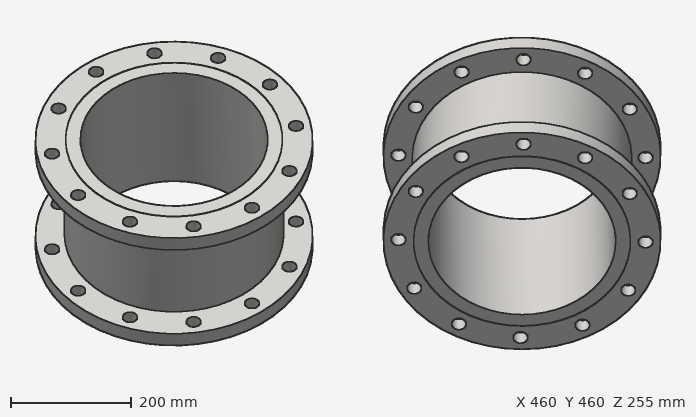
import cadquery as cq

flange_diameter = 460.0
overall_height = 255.0
bore_diameter = 311.0

flange_thickness = 29.0
raised_face_height = 1.0
raised_face_diameter = 359.5

body_diameter = 364.5
body_edge_fillet = 3.5
neck_diameter = 331.0
neck_height = 1.5

bolt_count = 12
bolt_circle_diameter = 410.0
bolt_hole_diameter = 24.0

half_height = overall_height / 2
flange_outer_z = half_height - raised_face_height
flange_inner_z = half_height - flange_thickness
body_end_z = flange_inner_z - neck_height


def disc(diameter, bottom_z, top_z):
    """Solid cylinder on the Z axis between two heights."""
    return (
        cq.Workplane("XY", origin=(0, 0, bottom_z))
        .circle(diameter / 2)
        .extrude(top_z - bottom_z)
    )


def bolt_holes():
    """Pins that cut the bolt holes through both flanges."""
    first_angle = 180 / bolt_count
    return (
        cq.Workplane("XY", origin=(0, 0, -half_height))
        .polarArray(bolt_circle_diameter / 2, first_angle, 360, bolt_count)
        .circle(bolt_hole_diameter / 2)
        .extrude(overall_height)
    )


def upper_flange():
    """Upper flange with its raised face and the neck below it."""
    plate = disc(flange_diameter, flange_inner_z, flange_outer_z)
    raised_face = disc(raised_face_diameter, flange_outer_z, half_height)
    neck = disc(neck_diameter, body_end_z, flange_inner_z)
    return plate.union(raised_face).union(neck)


def body():
    """Cylindrical body with rounded end edges."""
    cylinder = disc(body_diameter, -body_end_z, body_end_z)
    return cylinder.edges("%CIRCLE").fillet(body_edge_fillet)


flange = upper_flange()
spool = body().union(flange).union(flange.mirror("XY"))
bore = disc(bore_diameter, -half_height, half_height)

result = spool.cut(bore).cut(bolt_holes())